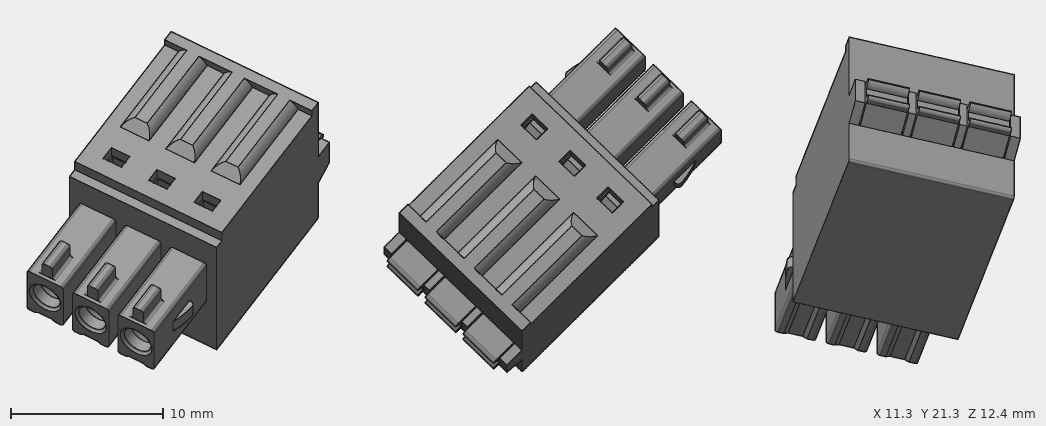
import cadquery as cq
import math


pole_count = 3
pole_pitch = 3.5

housing_width = 11.3
housing_length = 12.8
housing_height = 12.4
deck_height = 11.85
front_step_length = 0.65
front_step_height = 10.97
back_bar_start = 12.0
bottom_edge_radius = 0.17

shelf_end = 14.2
shelf_top = 6.58
shelf_bottom = 4.43
shelf_root = 3.73
button_end = 14.7
button_width = 2.81
button_gap = 0.09
button_drop = 0.06
nub_height = 0.64
nub_round = 0.25

ridge_base_width = 2.22
ridge_top_width = 0.94
ridge_front = 4.66
ridge_top_front = 5.47

pocket_front = 1.85
pocket_back = 2.9
pocket_width = 1.4
pocket_mouth_depth = 0.85
pocket_side_step = 0.1
pocket_back_step = 0.06
pocket_flat_depth = 1.28
pocket_flat_end = 2.2
pocket_deep_end_depth = 1.7

pin_length = 6.6
pin_width = 2.8
pin_bottom = 4.6
pin_top = 8.7
pin_radius = 0.21
relief_width = 1.6
relief_flat_width = 1.0
relief_depth = 0.15

mouth_radius = 1.21
bore_radius = 1.02
bore_floor_radius = 0.62
bore_straight_end = 1.0
bore_depth = 1.4
bore_height = 6.69

key_front = -6.35
key_back = -4.11
key_width = 0.8
key_top = 9.88
key_radius = 0.21

latch_back = -2.17
latch_front = -4.22
latch_reach = 0.4
latch_round = 0.32
latch_ramp_radius = 6.4
latch_bottom = 6.13
latch_top = 7.15


pole_positions = [(i - (pole_count - 1) / 2) * pole_pitch for i in range(pole_count)]
overlap = 0.21


def side_prism(profile, width, x):
    """Extrude a closed (Y, Z) profile over a width centred on x."""
    return profile.extrude(width / 2, both=True).translate((x, 0, 0))


def make_housing():
    profile = (
        cq.Workplane("YZ")
        .moveTo(0, 0)
        .lineTo(housing_length - bottom_edge_radius, 0)
        .radiusArc((housing_length, bottom_edge_radius), -bottom_edge_radius)
        .lineTo(housing_length, shelf_root)
        .lineTo(shelf_end, shelf_bottom)
        .lineTo(shelf_end, shelf_top)
        .lineTo(housing_length, shelf_top)
        .lineTo(housing_length, housing_height)
        .lineTo(back_bar_start, housing_height)
        .lineTo(back_bar_start, deck_height)
        .lineTo(front_step_length, deck_height)
        .lineTo(front_step_length, front_step_height)
        .lineTo(0, front_step_height)
        .close()
    )
    return side_prism(profile, housing_width, 0)


def make_ridge(x):
    """Round-sided ridge with a flat top and a sloped front end."""
    height = housing_height - deck_height
    half_base = ridge_base_width / 2
    half_top = ridge_top_width / 2
    centre_drop = (half_base**2 - half_top**2 - height**2) / (2 * height)
    radius = math.hypot(half_base, centre_drop)
    bar = (
        cq.Workplane("XZ", origin=(x, 0, deck_height))
        .moveTo(-half_base, 0)
        .radiusArc((-half_top, height), radius)
        .lineTo(half_top, height)
        .radiusArc((half_base, 0), radius)
        .close()
        .extrude(-back_bar_start - overlap)
    )
    side = cq.Workplane("YZ").polyline([
        (ridge_front, deck_height),
        (back_bar_start + overlap, deck_height),
        (back_bar_start + overlap, housing_height),
        (ridge_top_front, housing_height),
    ]).close()
    return bar.intersect(side_prism(side, ridge_base_width, x))


def make_pocket(x):
    """Stepped pocket: a wide mouth, then a narrower well whose floor slopes down to the back."""
    mouth = (
        cq.Workplane("XY", origin=(x, (pocket_front + pocket_back) / 2, deck_height))
        .rect(pocket_width, pocket_back - pocket_front)
        .extrude(-pocket_mouth_depth)
    )
    well_back = pocket_back - pocket_back_step
    well_side = cq.Workplane("YZ").polyline([
        (pocket_front, deck_height),
        (pocket_front, deck_height - pocket_flat_depth),
        (pocket_flat_end, deck_height - pocket_flat_depth),
        (well_back, deck_height - pocket_deep_end_depth),
        (well_back, deck_height),
    ]).close()
    return mouth.union(side_prism(well_side, pocket_width - 2 * pocket_side_step, x))


def make_button_clearance(x):
    """Full-height cut through the rear shelf, slightly wider than the button."""
    shelf_length = shelf_end - housing_length
    return (
        cq.Workplane("XY", origin=(x, housing_length + shelf_length / 2, shelf_root))
        .rect(button_width + 2 * button_gap, shelf_length)
        .extrude(shelf_top - shelf_root)
    )


def make_button(x):
    """Release button: a slab just below the shelf top with two gripping nubs at its back."""
    top = shelf_top - button_drop
    profile = (
        cq.Workplane("YZ")
        .moveTo(housing_length - overlap, shelf_root)
        .lineTo(housing_length, shelf_root)
        .lineTo(shelf_end, shelf_bottom)
        .lineTo(button_end - nub_round, shelf_bottom)
        .radiusArc((button_end, shelf_bottom + nub_round), -nub_round)
        .radiusArc((shelf_end, shelf_bottom + nub_height), -nub_height)
        .lineTo(shelf_end, top - nub_height)
        .radiusArc((button_end, top - nub_round), -nub_height)
        .radiusArc((button_end - nub_round, top), -nub_round)
        .lineTo(housing_length - overlap, top)
        .close()
    )
    return side_prism(profile, button_width, x)


def make_pin(x):
    height = pin_top - pin_bottom
    pin = (
        cq.Workplane("XZ", origin=(x, overlap, pin_bottom + height / 2))
        .rect(pin_width, height)
        .extrude(pin_length + overlap)
        .edges("|Y")
        .fillet(pin_radius)
    )
    relief = (
        cq.Workplane("XZ", origin=(x, 0, pin_bottom))
        .polyline([
            (-relief_width / 2, 0),
            (-relief_flat_width / 2, relief_depth),
            (relief_flat_width / 2, relief_depth),
            (relief_width / 2, 0),
        ])
        .close()
        .extrude(pin_length)
    )
    return pin.cut(relief)


def make_bore(x):
    """Straight bore with a rounded mouth and a coned, flat-ended bottom."""
    mouth_round = mouth_radius - bore_radius
    profile = (
        cq.Workplane("XY")
        .moveTo(0, 0)
        .lineTo(mouth_radius, 0)
        .radiusArc((bore_radius, mouth_round), -mouth_round)
        .lineTo(bore_radius, bore_straight_end)
        .lineTo(bore_floor_radius, bore_depth)
        .lineTo(0, bore_depth)
        .close()
    )
    bore = profile.revolve(360, (0, 0, 0), (0, 1, 0))
    return bore.translate((x, -pin_length, bore_height))


def make_key(x):
    """Upright key with a rounded top and filleted roots."""
    half = key_width / 2
    r = key_radius
    return (
        cq.Workplane("XZ", origin=(x, key_back, 0))
        .moveTo(-half - r, pin_top - r)
        .lineTo(-half - r, pin_top)
        .radiusArc((-half, pin_top + r), -r)
        .lineTo(-half, key_top - r)
        .radiusArc((-half + r, key_top), r)
        .lineTo(half - r, key_top)
        .radiusArc((half, key_top - r), r)
        .lineTo(half, pin_top + r)
        .radiusArc((half + r, pin_top), -r)
        .lineTo(half + r, pin_top - r)
        .close()
        .extrude(key_back - key_front)
    )


def make_latch():
    """Latch on the +X flank: a rounded shoulder at the back, a curved ramp to the front."""
    flank = pole_positions[-1] + pin_width / 2
    tip = flank + latch_reach
    return (
        cq.Workplane("XY", origin=(0, 0, latch_bottom))
        .moveTo(flank - overlap, latch_front)
        .lineTo(flank, latch_front)
        .radiusArc((tip, latch_back - latch_round), -latch_ramp_radius)
        .radiusArc((tip - latch_round, latch_back), -latch_round)
        .lineTo(flank - overlap, latch_back)
        .close()
        .extrude(latch_top - latch_bottom)
    )


result = make_housing()
for pole_x in pole_positions:
    result = result.cut(make_button_clearance(pole_x))
    result = result.union(make_button(pole_x))
    result = result.union(make_ridge(pole_x))
    result = result.cut(make_pocket(pole_x))
    result = result.union(make_pin(pole_x))
    result = result.union(make_key(pole_x))
    result = result.cut(make_bore(pole_x))

latch = make_latch()
result = result.union(latch).union(latch.mirror("YZ"))